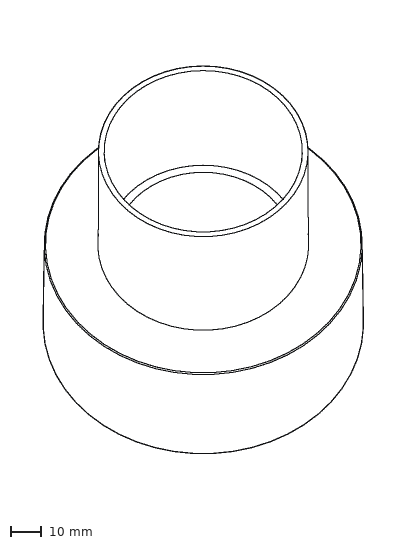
import cadquery as cq

total_height = 97.0
base_height = 44.5
neck_height = total_height - base_height

base_bottom_radius = 52.5
base_top_radius = 52.1
neck_bottom_radius = 34.5
neck_top_radius = 34.3

rim_bevel = 0.4

socket_mouth_radius = 32.4
socket_floor_radius = 31.8
bore_radius = 29.0


def tapered_cylinder(bottom_radius, top_radius, bottom_z, height):
    """Round frustum on the Z axis, standing at bottom_z."""
    return (
        cq.Workplane("XZ")
        .moveTo(0, bottom_z)
        .lineTo(bottom_radius, bottom_z)
        .lineTo(top_radius, bottom_z + height)
        .lineTo(0, bottom_z + height)
        .close()
        .revolve(360, (0, 0, 0), (0, 1, 0))
    )


base = tapered_cylinder(base_bottom_radius, base_top_radius, 0, base_height)
base = base.faces(">Z").edges().chamfer(rim_bevel)
neck = tapered_cylinder(neck_bottom_radius, neck_top_radius, base_height, neck_height)
socket = tapered_cylinder(socket_floor_radius, socket_mouth_radius, base_height, neck_height)
bore = cq.Workplane("XY").circle(bore_radius).extrude(total_height)

result = base.union(neck).cut(socket).cut(bore)